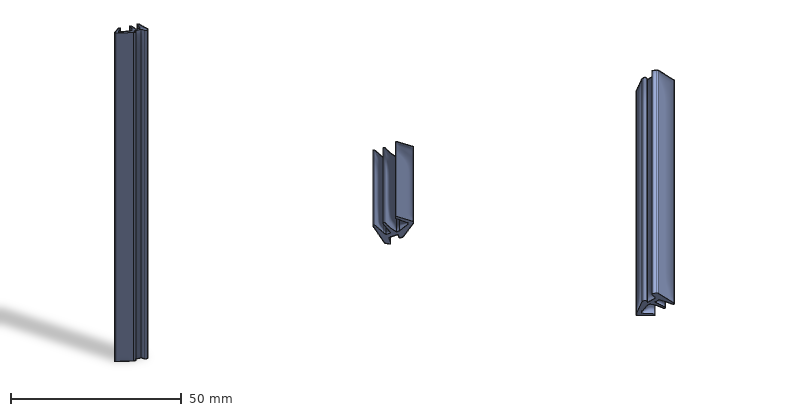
import cadquery as cq

LENGTH = 100.0

SPINE_LEFT = 0.9
SPINE_RIGHT = 2.1
NECK_LEFT = 1.2
NECK_BOTTOM = 4.8
NECK_TOP = 5.7

HEAD_RIGHT = 4.2
HEAD_BOTTOM = 8.4
HEAD_SHOULDER = (3.3, 10.1)
TOP_LIP_END_X = -3.0
TOP_LIP_UPPER_Y = 11.7
TOP_LIP_LOWER_Y = 11.1
TOP_LIP_BEND = (0.1, 9.4)
TOP_LIP_ROOT_Y = 8.9

MIDDLE_LIP_END_X = -2.7
MIDDLE_LIP_UPPER_Y = 8.7
MIDDLE_LIP_LOWER_Y = 8.0
MIDDLE_LIP_ROOT_Y = 7.4
MIDDLE_LIP_ARCH = (-0.4, 6.9)

BARB_TOP = 5.6
BARB_RIGHT = 3.3
BARB_SIDE_BOTTOM = 4.4
V_TIP = (0.1, -0.3)
V_INSIDE = (0.0, 1.4)
BOTTOM_LIP_OUTER = (-3.3, 4.3)
BOTTOM_LIP_INNER = (-2.8, 4.7)

LIP_END_RADIUS = 0.2
V_TIP_RADIUS = 0.4
V_INSIDE_RADIUS = 0.3
SHOULDER_RADIUS = 0.8
HEAD_CORNER_RADIUS = 0.3
BARB_CORNER_RADIUS = 0.5
SPINE_CORNER_RADIUS = 0.2

top_lip_upper = (TOP_LIP_END_X, TOP_LIP_UPPER_Y)
top_lip_lower = (TOP_LIP_END_X, TOP_LIP_LOWER_Y)
middle_lip_upper = (MIDDLE_LIP_END_X, MIDDLE_LIP_UPPER_Y)
middle_lip_lower = (MIDDLE_LIP_END_X, MIDDLE_LIP_LOWER_Y)
head_corner = (HEAD_RIGHT, HEAD_BOTTOM)
head_spine_corner = (SPINE_RIGHT, HEAD_BOTTOM)
barb_corner = (BARB_RIGHT, BARB_TOP)


def round_corner(body, corner, radius):
    """Round the lengthwise edge that passes through a profile corner."""
    edge = cq.selectors.NearestToPointSelector((*corner, LENGTH / 2))
    return body.edges("|Z").edges(edge).fillet(radius)


result = (
    cq.Workplane("XY")
    .moveTo(*V_TIP)
    .lineTo(BARB_RIGHT, BARB_SIDE_BOTTOM)
    .lineTo(*barb_corner)
    .lineTo(SPINE_RIGHT, BARB_TOP)
    .lineTo(*head_spine_corner)
    .lineTo(*head_corner)
    .lineTo(*HEAD_SHOULDER)
    .lineTo(*top_lip_upper)
    .lineTo(*top_lip_lower)
    .lineTo(*TOP_LIP_BEND)
    .lineTo(SPINE_LEFT, TOP_LIP_ROOT_Y)
    .lineTo(SPINE_LEFT, MIDDLE_LIP_ROOT_Y)
    .lineTo(*middle_lip_upper)
    .lineTo(*middle_lip_lower)
    .threePointArc(MIDDLE_LIP_ARCH, (NECK_LEFT, NECK_TOP))
    .lineTo(NECK_LEFT, NECK_BOTTOM)
    .lineTo(*V_INSIDE)
    .lineTo(*BOTTOM_LIP_INNER)
    .lineTo(*BOTTOM_LIP_OUTER)
    .close()
    .extrude(LENGTH)
)

lip_ends = [
    top_lip_upper,
    top_lip_lower,
    middle_lip_upper,
    middle_lip_lower,
    BOTTOM_LIP_INNER,
    BOTTOM_LIP_OUTER,
]
for lip_end in lip_ends:
    result = round_corner(result, lip_end, LIP_END_RADIUS)

result = round_corner(result, V_TIP, V_TIP_RADIUS)
result = round_corner(result, V_INSIDE, V_INSIDE_RADIUS)
result = round_corner(result, HEAD_SHOULDER, SHOULDER_RADIUS)
result = round_corner(result, head_corner, HEAD_CORNER_RADIUS)
result = round_corner(result, barb_corner, BARB_CORNER_RADIUS)
result = round_corner(result, head_spine_corner, SPINE_CORNER_RADIUS)